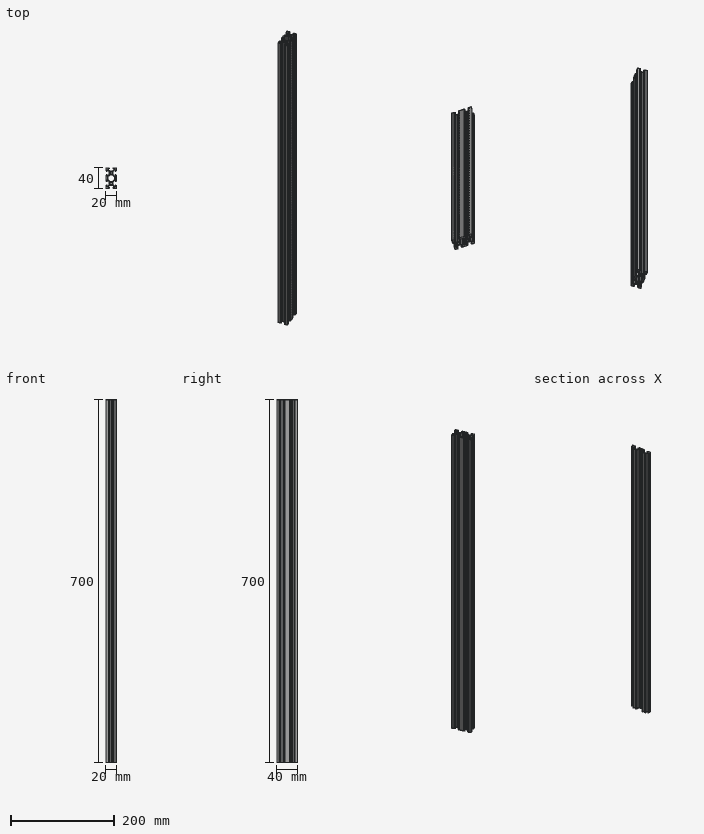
import cadquery as cq
import math

cell_size = 20.0
cell_count = 2
length = 700.0
corner_radius = 0.5

slot_outer_width = 9.16
slot_neck_width = 6.2
mouth_angle = 45.0
lip_thickness = 1.8
pocket_width = 11.0

core_width = 7.8
web_thickness = 1.5
bore_diameter = 4.2

groove_half_width = 0.3
groove_depth = 0.3

cavity_width = 13.0
ridge_half_width = 0.3
ridge_height = 0.3

cell_half = cell_size / 2
core_half = core_width / 2
pocket_half = pocket_width / 2
lip_level = cell_half - lip_thickness
neck_half = slot_neck_width / 2
mouth_half = slot_outer_width / 2
mouth_depth = (mouth_half - neck_half) / math.tan(math.radians(mouth_angle))
web_offset = web_thickness / math.sqrt(2)
floor_half = core_half - web_offset

cavity_half_width = cavity_width / 2
cavity_half_length = cell_half - core_half
side_wall_half = cell_half - web_offset - cavity_half_width


def prism(points):
    """Full-length prism over a closed outline."""
    return cq.Workplane("XY").polyline(points).close().extrude(length)


def turned(solid, angle):
    return solid.rotate((0, 0, 0), (0, 0, 1), angle)


def blank():
    """Solid bar with rounded outer corners."""
    bar = cq.Workplane("XY").box(cell_size, cell_size * cell_count, length, centered=(True, True, False))
    return bar.edges("|Z").fillet(corner_radius)


def t_slot():
    """T-slot opening toward +Y from a cell centred on the origin."""
    right_side = [
        (groove_half_width, core_half),
        (floor_half, core_half),
        (pocket_half, pocket_half + web_offset),
        (pocket_half, lip_level),
        (neck_half, lip_level),
        (neck_half, cell_half - mouth_depth),
        (mouth_half, cell_half),
    ]
    left_side = [(-x, y) for x, y in reversed(right_side)]
    groove_bottom = (0, core_half - groove_depth)
    return prism([groove_bottom] + right_side + left_side)


def cavity():
    """Octagonal cavity centred on the origin: grooves in its end walls, ridges on its side walls."""
    half_outline = [
        (-floor_half, cavity_half_length),
        (-groove_half_width, cavity_half_length),
        (0, cavity_half_length + groove_depth),
        (groove_half_width, cavity_half_length),
        (floor_half, cavity_half_length),
        (cavity_half_width, side_wall_half),
        (cavity_half_width, ridge_half_width),
        (cavity_half_width - ridge_height, 0),
        (cavity_half_width, -ridge_half_width),
        (cavity_half_width, -side_wall_half),
    ]
    other_half = [(-x, -y) for x, y in half_outline]
    return prism(half_outline + other_half)


def bore():
    return cq.Workplane("XY").circle(bore_diameter / 2).extrude(length)


def profile_bar():
    bar = blank()
    first_centre = cell_half - cell_size * cell_count / 2
    centres = [first_centre + i * cell_size for i in range(cell_count)]
    for y in centres:
        bar = bar.cut(bore().translate((0, y, 0)))
        for angle in (90, -90):
            bar = bar.cut(turned(t_slot(), angle).translate((0, y, 0)))
    bar = bar.cut(t_slot().translate((0, centres[-1], 0)))
    bar = bar.cut(turned(t_slot(), 180).translate((0, centres[0], 0)))
    for y in centres[:-1]:
        bar = bar.cut(cavity().translate((0, y + cell_half, 0)))
    return bar


result = profile_bar()